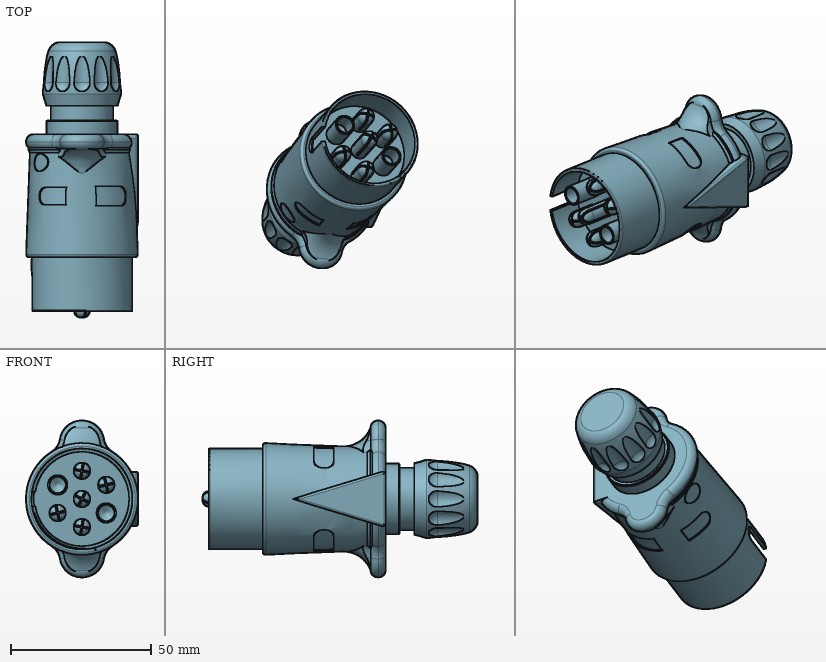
import cadquery as cq
import math


overlap = 1.0

body_front_radius = 20.0
body_back_radius = 18.55
body_length = 38.4
body_front_fillet = 1.1
root_height = 0.55
root_length = 1.2

flange_radius = 20.0
flange_thickness = 5.5
flange_rounding = 2.74
lobe_radius = 8.0
lobe_offset = 20.0
lobe_blend_radius = 6.4
flange_back = body_length + flange_thickness

gusset_axis_height = 12.0
gusset_flare_radius = 10.0
gusset_flare_start = 29.0
gusset_stem_radius = 6.8
gusset_margin = 1.7

shell_outer_radius = 18.0
shell_inner_radius = 16.8
shell_length = 19.2
shell_rim_fillet = 0.4
cavity_floor = -6.06
keyway_half_width = 2.8
keyway_end = -4.36
insert_radius = 17.2

contact_circle_radius = 10.0
pin_radius = 2.95
centre_pin_tip = -21.5
outer_pin_tip = -17.3
pin_dome_height = 3.4
slit_width = 0.6
slit_end = -8.0
centre_slit_angle = 27
outer_slit_angles = {30: -13, 90: 10, 150: None, 210: -13, 270: 10, 330: None}
socket_outer_radius = 3.5
socket_bore_radius = 2.9
socket_tip = -17.3
socket_bore_depth = 8.0
drill_point_angle = 118.0

collar_radius = 12.67
collar_back = 48.85
collar_chamfer = 0.4
neck_radius = 11.2
cap_front = 54.0
cap_front_radius = 12.75
cap_widest_y = 58.24
cap_widest_radius = 14.0
cap_waist_y = 67.0
cap_waist_radius = 13.45
cap_shoulder_y = 73.54
cap_shoulder_radius = 12.0
cap_back = 76.64
cap_back_radius = 8.5
cap_corner_mid_radius = 10.8
cap_corner_mid_y = 75.4

flute_count = 12
flute_radius = 4.1
flute_centre_radius = 16.6
flute_ball_y = 62.3

tab_face_x = 20.0
tab_half_width = 9.66
tab_straight_length = 1.5
tab_tip_y = 10.5
tab_edge_fillet = 0.8

window_y = 21.8
window_depth = 0.5
window_angle = 35.0
window_corner_radius = 3.0
left_window_size = (11.6, 6.2)
right_window_size = (13.0, 7.0)
spot_radius = 3.15
spot_y = 33.8
spot_z = 11.1
spot_depth = 0.15


def body_radius(y):
    return body_front_radius + (body_back_radius - body_front_radius) * y / body_length


def revolve(profile):
    return profile.close().revolve(360, (0, 0, 0), (0, 1, 0))


def cylinder_y(radius, y_start, y_end, z=0.0):
    """Cylinder along Y from y_start to y_end."""
    plane = cq.Plane(origin=(0, y_start, z), xDir=(1, 0, 0), normal=(0, 1, 0))
    return cq.Workplane(plane).circle(radius).extrude(y_end - y_start)


def body_cone(inset):
    """Cone parallel to the body surface, moved inwards by the inset."""
    return revolve(
        cq.Workplane("XY")
        .polyline([
            (0, 0),
            (body_front_radius - inset, 0),
            (body_back_radius - inset, body_length),
            (0, body_length),
        ])
    )


def make_body():
    body = body_cone(0).faces("<Y").edges().fillet(body_front_fillet)
    root_start = body_length - root_length
    root = revolve(
        cq.Workplane("XY")
        .moveTo(0, root_start)
        .lineTo(body_radius(root_start), root_start)
        .lineTo(body_back_radius + root_height, body_length)
        .lineTo(body_back_radius + root_height, body_length + root_length)
        .lineTo(0, body_length + root_length)
    )
    return body.union(root)


def flange_outline(plane, inset):
    """Closed outline: a ring with a lobe at each Z end, joined by concave arcs."""
    ring = flange_radius - inset
    lobe = lobe_radius - inset
    blend = lobe_blend_radius + inset
    to_ring = ring + blend
    to_lobe = lobe + blend
    centre_z = (to_ring**2 - to_lobe**2 + lobe_offset**2) / (2 * lobe_offset)
    centre_x = math.sqrt(to_ring**2 - centre_z**2)
    ring_x = centre_x * ring / to_ring
    ring_z = centre_z * ring / to_ring
    lobe_x = centre_x * lobe / to_lobe
    lobe_z = lobe_offset + (centre_z - lobe_offset) * lobe / to_lobe
    middle = math.hypot(ring_x + lobe_x - 2 * centre_x, ring_z + lobe_z - 2 * centre_z)
    blend_x = centre_x + (ring_x + lobe_x - 2 * centre_x) * blend / middle
    blend_z = centre_z + (ring_z + lobe_z - 2 * centre_z) * blend / middle
    return (
        cq.Workplane(plane)
        .moveTo(ring_x, -ring_z)
        .threePointArc((ring, 0), (ring_x, ring_z))
        .threePointArc((blend_x, blend_z), (lobe_x, lobe_z))
        .threePointArc((0, lobe_offset + lobe), (-lobe_x, lobe_z))
        .threePointArc((-blend_x, blend_z), (-ring_x, ring_z))
        .threePointArc((-ring, 0), (-ring_x, -ring_z))
        .threePointArc((-blend_x, -blend_z), (-lobe_x, -lobe_z))
        .threePointArc((0, -lobe_offset - lobe), (lobe_x, -lobe_z))
        .threePointArc((blend_x, -blend_z), (ring_x, -ring_z))
        .close()
    )


def make_flange():
    plane = cq.Plane(origin=(0, flange_back, 0), xDir=(1, 0, 0), normal=(0, -1, 0))
    flange = flange_outline(plane, 0).extrude(flange_thickness)
    return flange.faces("<Y or >Y").edges().fillet(flange_rounding)


def make_gussets():
    """Trumpet-shaped supports running from the body surface out to the lobes."""
    flare_end_radius = gusset_stem_radius + gusset_flare_radius
    flare_end_y = gusset_flare_start + gusset_flare_radius
    diagonal = gusset_flare_radius * math.sqrt(0.5)
    top_y = body_length + flange_thickness / 2
    trumpet = revolve(
        cq.Workplane("XY")
        .moveTo(0, gusset_flare_start)
        .lineTo(gusset_stem_radius, gusset_flare_start)
        .threePointArc(
            (flare_end_radius - diagonal, gusset_flare_start + diagonal),
            (flare_end_radius, flare_end_y),
        )
        .lineTo(flare_end_radius, top_y)
        .lineTo(0, top_y)
    )
    pair = trumpet.translate((0, 0, gusset_axis_height))
    pair = pair.union(trumpet.translate((0, 0, -gusset_axis_height)))
    plane = cq.Plane(origin=(0, top_y, 0), xDir=(1, 0, 0), normal=(0, -1, 0))
    limit = flange_outline(plane, gusset_margin).extrude(top_y - gusset_flare_start)
    return pair.intersect(limit)


def make_tab():
    """Wedge-shaped pad with a flat outer face, narrowing towards the front."""
    straight_end = flange_back - tab_straight_length
    tab = (
        cq.Workplane("YZ")
        .polyline([
            (flange_back, -tab_half_width),
            (flange_back, tab_half_width),
            (straight_end, tab_half_width),
            (tab_tip_y, 0),
            (straight_end, -tab_half_width),
        ])
        .close()
        .extrude(tab_face_x)
    )
    return tab.faces(">X").edges().fillet(tab_edge_fillet)


def make_gland():
    collar = cylinder_y(collar_radius, flange_back - flange_thickness, collar_back)
    collar = collar.faces(">Y").edges().chamfer(collar_chamfer)
    neck = cylinder_y(neck_radius, collar_back - overlap, cap_front + overlap)
    cap = revolve(
        cq.Workplane("XY")
        .moveTo(0, cap_front)
        .lineTo(cap_front_radius, cap_front)
        .lineTo(cap_widest_radius, cap_widest_y)
        .threePointArc((cap_waist_radius, cap_waist_y), (cap_shoulder_radius, cap_shoulder_y))
        .threePointArc((cap_corner_mid_radius, cap_corner_mid_y), (cap_back_radius, cap_back))
        .lineTo(0, cap_back)
    )
    flute = cylinder_y(flute_radius, flute_ball_y, cap_back, z=flute_centre_radius)
    ball = cq.Workplane("XY").sphere(flute_radius).translate((0, flute_ball_y, flute_centre_radius))
    flute = flute.union(ball)
    for index in range(flute_count):
        cap = cap.cut(flute.rotate((0, 0, 0), (0, 1, 0), index * 360 / flute_count))
    return collar.union(neck).union(cap)


def make_shell():
    """Thin cylindrical shroud with a keyway open to the front on the -X side."""
    shell = cylinder_y(shell_outer_radius, -shell_length, overlap)
    shell = shell.faces("<Y").edges().fillet(shell_rim_fillet)
    shell = shell.cut(cylinder_y(shell_inner_radius, -shell_length, cavity_floor))
    round_centre_y = keyway_end - keyway_half_width
    keyway = (
        cq.Workplane("YZ")
        .moveTo(-shell_length, -keyway_half_width)
        .lineTo(round_centre_y, -keyway_half_width)
        .threePointArc((keyway_end, 0), (round_centre_y, keyway_half_width))
        .lineTo(-shell_length, keyway_half_width)
        .close()
        .extrude(-body_front_radius)
    )
    insert = cylinder_y(insert_radius, cavity_floor, 0)
    return shell.cut(keyway).union(insert)


def make_pin(tip_y, slit_angle):
    """Domed contact pin, split in four by two crossed slits."""
    dome_start = tip_y + pin_dome_height
    pin = revolve(
        cq.Workplane("XY")
        .moveTo(0, 0)
        .lineTo(pin_radius, 0)
        .lineTo(pin_radius, dome_start)
        .spline([(0, tip_y)], tangents=[(0, -1), (-1, 0)], includeCurrent=True)
    )
    slit_length = slit_end - tip_y
    slit = cq.Workplane("XY").box(3 * pin_radius, slit_length, slit_width)
    slit = slit.translate((0, tip_y + slit_length / 2, 0))
    for angle in (slit_angle, slit_angle + 90):
        pin = pin.cut(slit.rotate((0, 0, 0), (0, 1, 0), angle))
    return pin


def make_socket():
    """Tubular contact with a drilled blind bore."""
    bore_end = socket_tip + socket_bore_depth
    point_height = socket_bore_radius / math.tan(math.radians(drill_point_angle / 2))
    return revolve(
        cq.Workplane("XY")
        .polyline([
            (0, 0),
            (socket_outer_radius, 0),
            (socket_outer_radius, socket_tip),
            (socket_bore_radius, socket_tip),
            (socket_bore_radius, bore_end),
            (0, bore_end + point_height),
        ])
    )


def make_contacts():
    contacts = make_pin(centre_pin_tip, centre_slit_angle)
    for position, slit_angle in outer_slit_angles.items():
        contact = make_socket() if slit_angle is None else make_pin(outer_pin_tip, slit_angle)
        x = contact_circle_radius * math.cos(math.radians(position))
        z = contact_circle_radius * math.sin(math.radians(position))
        contacts = contacts.union(contact.translate((x, 0, z)))
    return contacts


def window_prism(size, side):
    """D-shaped prism pointing outwards, tilted to one side with its rounded end lowest."""
    width, height = size
    prism = (
        cq.Workplane("XY")
        .rect(width, height)
        .extrude(body_front_radius + overlap)
        .edges("|Z and >X" if side > 0 else "|Z and <X")
        .fillet(window_corner_radius)
    )
    return prism.translate((0, window_y, 0)).rotate((0, 0, 0), (0, 1, 0), side * window_angle)


def make_recesses():
    windows = window_prism(left_window_size, -1).union(window_prism(right_window_size, 1))
    windows = windows.cut(body_cone(window_depth))
    spot = (
        cq.Workplane("YZ")
        .center(spot_y, spot_z)
        .circle(spot_radius)
        .extrude(-body_front_radius)
        .cut(body_cone(spot_depth))
    )
    upper = windows.union(spot)
    return upper.union(upper.mirror("XY"))


result = (
    make_body()
    .union(make_flange())
    .union(make_gussets())
    .cut(make_recesses())
    .union(make_tab())
    .union(make_gland())
    .union(make_shell())
    .union(make_contacts())
)